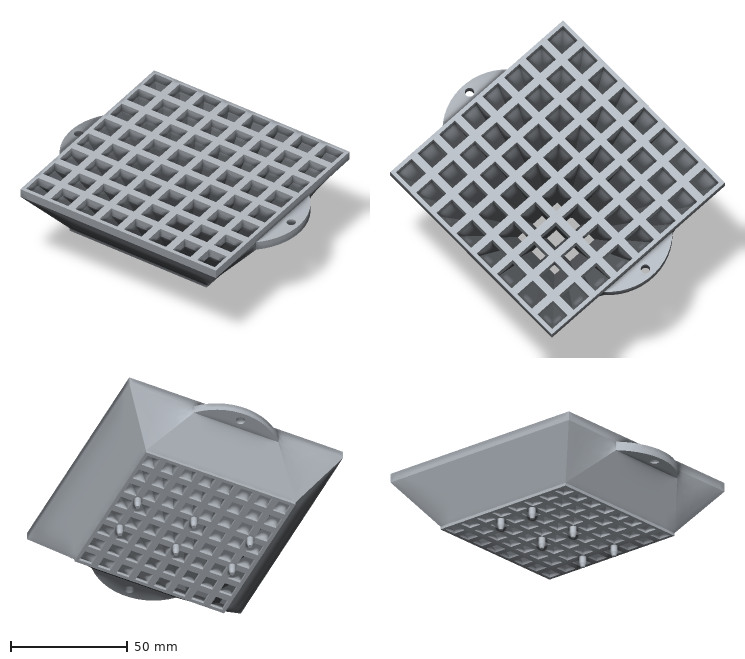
import cadquery as cq

plate_side = 101.6
plate_thickness = 4.0
cells_per_side = 8
top_opening = 9.1

base_side = 71.2
lip_height = 1.3
base_opening = 5.8
body_height = 25.4

overall_length = 118.7
ear_thickness = plate_thickness
ear_chord = 40.2
ear_hole_diameter = 4.0
ear_hole_spacing = 110.5

pin_diameter = 3.1
pin_tip_diameter = 1.8
pin_straight_length = 3.0
pin_tip_length = 1.9

pin_columns = (-1, 1)
pin_rows = (-3, 0, 3)

plate_bottom = body_height - plate_thickness
ear_bottom = plate_bottom - ear_thickness

plate_pitch = plate_side / cells_per_side
base_pitch = base_side / cells_per_side
plate_half = plate_side / 2
base_half = base_side / 2
ear_half = ear_chord / 2


def perforated_slab(side, bottom, height, pitch, opening):
    """Square slab pierced by a grid of straight square cells."""
    slab = cq.Workplane("XY").workplane(offset=bottom).rect(side, side).extrude(height)
    cells = (
        cq.Workplane("XY").workplane(offset=bottom)
        .rarray(pitch, pitch, cells_per_side, cells_per_side)
        .rect(opening, opening)
        .extrude(height)
    )
    return slab.cut(cells)


def flat_face(points):
    return cq.Face.makeFromWires(cq.Wire.makePolygon(points, close=True))


def twisted_corner(x_side, y_side):
    """Ruled face running from the plate and base corner to the end of an ear."""
    plate_corner = cq.Vector(x_side * plate_half, y_side * plate_half, plate_bottom)
    base_corner = cq.Vector(x_side * base_half, y_side * base_half, lip_height)
    ear_top = cq.Vector(x_side * plate_half, y_side * ear_half, plate_bottom)
    ear_foot = cq.Vector(x_side * plate_half, y_side * ear_half, ear_bottom)
    return cq.Face.makeRuledSurface(
        cq.Edge.makeLine(plate_corner, ear_top),
        cq.Edge.makeLine(base_corner, ear_foot),
    )


def tapered_body():
    """Hopper-shaped body whose X flanks start lower, below the ears."""
    faces = [twisted_corner(x_side, y_side) for x_side in (-1, 1) for y_side in (-1, 1)]
    for side in (-1, 1):
        plate_edge = side * plate_half
        base_edge = side * base_half
        faces.append(flat_face([
            (-plate_half, plate_edge, plate_bottom),
            (plate_half, plate_edge, plate_bottom),
            (base_half, base_edge, lip_height),
            (-base_half, base_edge, lip_height),
        ]))
        faces.append(flat_face([
            (plate_edge, -ear_half, ear_bottom),
            (plate_edge, ear_half, ear_bottom),
            (base_edge, base_half, lip_height),
            (base_edge, -base_half, lip_height),
        ]))
        faces.append(flat_face([
            (plate_edge, -ear_half, ear_bottom),
            (plate_edge, ear_half, ear_bottom),
            (plate_edge, ear_half, plate_bottom),
            (plate_edge, -ear_half, plate_bottom),
        ]))
    faces.append(flat_face([
        (-plate_half, -plate_half, plate_bottom),
        (plate_half, -plate_half, plate_bottom),
        (plate_half, -ear_half, plate_bottom),
        (plate_half, ear_half, plate_bottom),
        (plate_half, plate_half, plate_bottom),
        (-plate_half, plate_half, plate_bottom),
        (-plate_half, ear_half, plate_bottom),
        (-plate_half, -ear_half, plate_bottom),
    ]))
    faces.append(flat_face([
        (-base_half, -base_half, lip_height),
        (base_half, -base_half, lip_height),
        (base_half, base_half, lip_height),
        (-base_half, base_half, lip_height),
    ]))
    return cq.Workplane(obj=cq.Solid.makeSolid(cq.Shell.makeShell(faces)).fix())


def ear(side):
    """Round-edged ear with its mounting hole."""
    outline = (
        cq.Workplane("XY").workplane(offset=ear_bottom)
        .moveTo(side * plate_half, -ear_half)
        .threePointArc((side * overall_length / 2, 0), (side * plate_half, ear_half))
        .close()
        .extrude(ear_thickness)
    )
    hole = (
        cq.Workplane("XY").workplane(offset=ear_bottom)
        .center(side * ear_hole_spacing / 2, 0)
        .circle(ear_hole_diameter / 2)
        .extrude(ear_thickness)
    )
    return outline.cut(hole)


def funnel(column, row):
    """Slanting square passage from a plate cell to the matching base cell."""
    top_x = column * plate_pitch
    top_y = row * plate_pitch
    base_x = column * base_pitch
    base_y = row * base_pitch
    return (
        cq.Workplane("XY").workplane(offset=lip_height)
        .center(base_x, base_y)
        .rect(base_opening, base_opening)
        .workplane(offset=plate_bottom - lip_height)
        .center(top_x - base_x, top_y - base_y)
        .rect(top_opening, top_opening)
        .loft(ruled=True)
    )


def pin(x, y):
    """Round pin with a conical tip, hanging from the base."""
    shank = cq.Workplane("XY").circle(pin_diameter / 2).extrude(-pin_straight_length)
    tip = (
        cq.Workplane("XY").workplane(offset=-pin_straight_length)
        .circle(pin_diameter / 2)
        .workplane(offset=-pin_tip_length)
        .circle(pin_tip_diameter / 2)
        .loft()
    )
    return shank.union(tip).translate((x, y, 0))


cell_steps = [index - (cells_per_side - 1) / 2 for index in range(cells_per_side)]
funnels = [funnel(column, row).val() for column in cell_steps for row in cell_steps]
pins = [pin(column * base_pitch, row * base_pitch).val() for column in pin_columns for row in pin_rows]

plate = perforated_slab(plate_side, plate_bottom, plate_thickness, plate_pitch, top_opening)
lip = perforated_slab(base_side, 0, lip_height, base_pitch, base_opening)
body = tapered_body().cut(cq.Workplane(obj=cq.Compound.makeCompound(funnels)))

part = body.union(plate).union(lip).union(ear(-1)).union(ear(1))
part = part.union(cq.Workplane(obj=cq.Compound.makeCompound(pins)))
result = cq.Workplane(obj=part.solids().val())